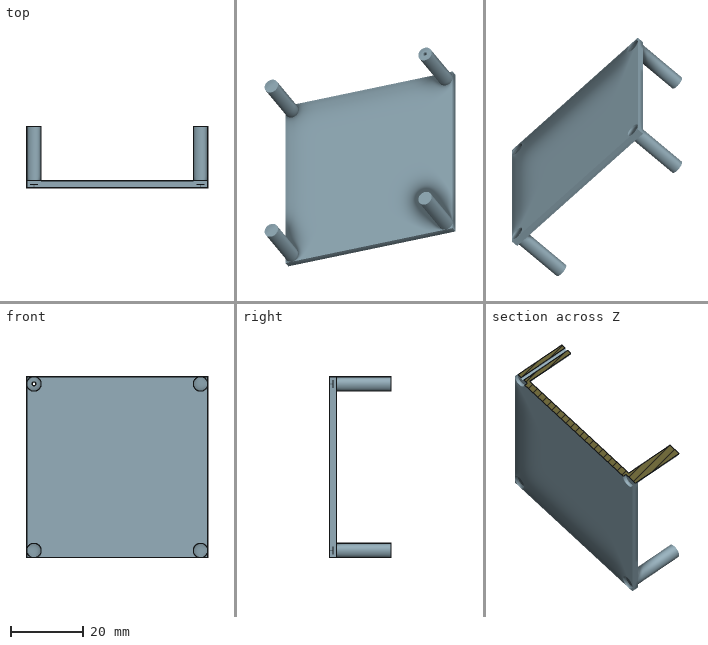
import cadquery as cq

plate_side = 50.0
plate_thickness = 2.0

total_depth = 17.0
post_diameter = 4.0
post_length = total_depth - plate_thickness
post_offset = (plate_side - post_diameter) / 2

recess_diameter = post_diameter
recess_depth = plate_thickness / 2

bore_diameter = 1.0

corners = [(x, z) for x in (-post_offset, post_offset) for z in (-post_offset, post_offset)]
bored_corner = (-post_offset, post_offset)


def rod(center, diameter, start, length):
    """Cylinder along +Y from Y = start, centered at (x, z)."""
    x, z = center
    base = cq.Vector(x, start, z)
    return cq.Workplane(cq.Solid.makeCylinder(diameter / 2, length, base, cq.Vector(0, 1, 0)))


result = cq.Workplane("XY").box(plate_side, plate_thickness, plate_side, centered=(True, False, True))

for corner in corners:
    result = result.union(rod(corner, post_diameter, plate_thickness, post_length))

for corner in corners:
    result = result.cut(rod(corner, recess_diameter, 0, recess_depth))

result = result.cut(rod(bored_corner, bore_diameter, 0, total_depth))